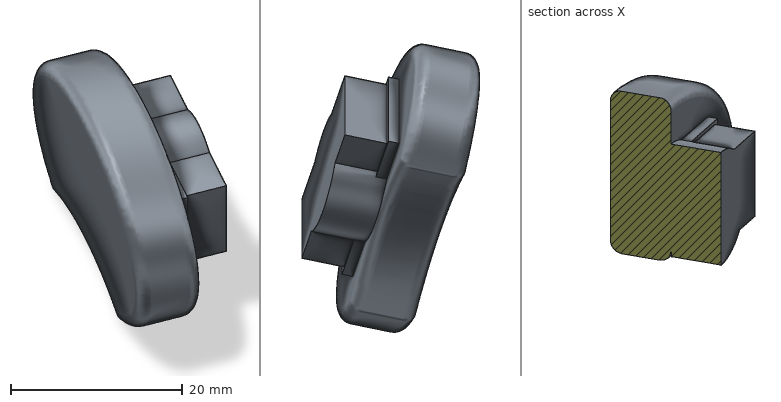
import cadquery as cq
import math

half_width = 19.055
half_height = 12.71
body_depth = 7.8
face_round = 1.5
scallop_radius = 28.3
scallop_top_z = -7.9
corner_round = 0.5

total_depth = 14.15
boss_radius = 7.15
boss_z = -0.08
bar_width = 19.4
bar_height = 10.77
stem_x = -0.08
stem_z = 0.6
shoulder_width = 20.92
shoulder_height = 11.7
shoulder_depth = 1.28


def on_plane_y(y):
    """XZ workplane at depth y; its normal is -Y, so negative extrusions run toward +Y."""
    return cq.Workplane("XZ", origin=(0, y, 0))


def corner_height():
    """Z where the ellipse and the scallop circle cross (root of a quadratic in Z)."""
    centre_z = scallop_top_z - scallop_radius
    squash = (half_width / half_height) ** 2
    a = 1 - squash
    b = -2 * centre_z
    c = half_width**2 + centre_z**2 - scallop_radius**2
    return (-b + math.sqrt(b**2 - 4 * a * c)) / (2 * a)


def button_body():
    """Crescent-cut ellipse with rounded corners and rounded front and back edges."""
    corner_z = corner_height()
    corner_x = half_width * math.sqrt(1 - (corner_z / half_height) ** 2)
    corner_angle = math.degrees(math.asin(corner_z / half_height))
    blank = (
        on_plane_y(0)
        .moveTo(corner_x, corner_z)
        .ellipseArc(half_width, half_height, corner_angle, 180 - corner_angle, startAtCurrent=True)
        .threePointArc((0, scallop_top_z), (corner_x, corner_z))
        .close()
        .extrude(-body_depth)
    )
    rounded = blank.edges("|Y").fillet(corner_round)
    return rounded.faces("<Y or >Y").edges().fillet(face_round)


def stem_block(width, height, depth):
    """Rectangular block on the back face, centred on the bar."""
    return on_plane_y(body_depth).center(stem_x, stem_z).rect(width, height).extrude(-depth)


def stem():
    """Round boss crossed by the bar, with the wider shoulder at its foot."""
    stem_depth = total_depth - body_depth
    boss = on_plane_y(body_depth).center(0, boss_z).circle(boss_radius).extrude(-stem_depth)
    bar = stem_block(bar_width, bar_height, stem_depth)
    shoulder = stem_block(shoulder_width, shoulder_height, shoulder_depth)
    return boss.union(bar).union(shoulder)


result = button_body().union(stem())